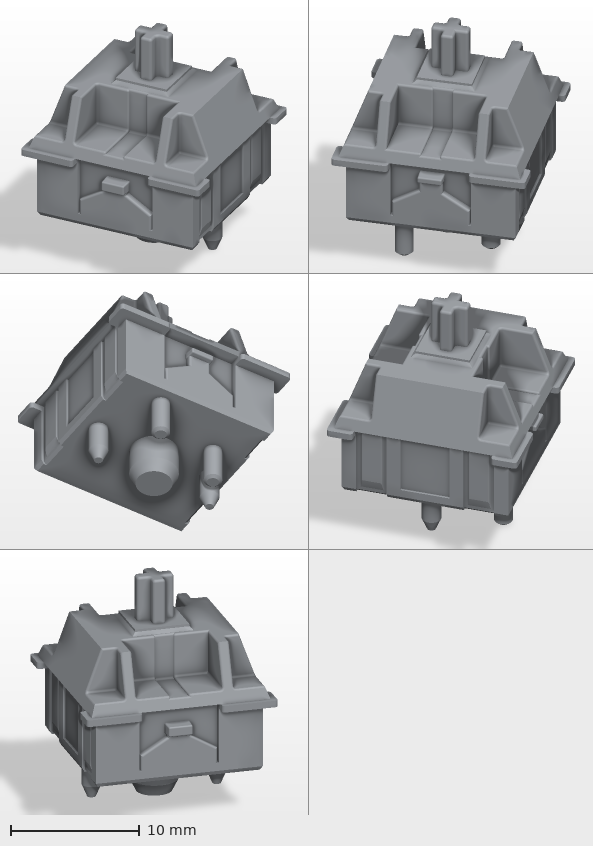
import cadquery as cq
import math

pin_tip_z = 0.0
body_bottom_z = 3.28
flange_bottom_z = 8.77
flange_top_z = 9.3
housing_top_z = 13.84
plinth_edge_z = 14.09
plinth_top_z = 14.28
stem_top_z = 17.9

body_half = 6.78
body_foot_height = 0.34
foot_top_z = body_bottom_z + body_foot_height
body_foot_inset = 0.2
flange_half = 7.75
flange_gap_half_x = 3.24
flange_gap_half_y = 5.64
flange_corner_radius = 0.27

housing_base_half = 7.27
housing_top_half = 5.58
pocket_floor_z = 10.3
pocket_fillet = 0.2
pocket_rim_fillet = 0.18
corner_pocket_wall = 4.4
center_pocket_half_x = 3.5
center_pocket_wall_y = 2.9
groove_half_x = 0.75
groove_depth = 0.18
groove_lip_radius = 0.16

plinth_base_half = 2.5
plinth_top_half = 2.2
stem_half_span = 1.49
stem_half_thickness = 0.5
stem_outer_radius = 0.23
stem_inner_radius = 0.25
stem_top_fillet = 0.21

clip_recess_depth = 0.55
clip_bottom_z = 4.26
clip_shoulder_z = 5.53
clip_neck_z = 6.8
clip_leg_half_x = 3.1
clip_neck_half_x = 0.93
clip_edge_fillet = 0.18
nub_half_width = 1.02
nub_reach = 7.25
nub_draft = 3.0
nub_fillet = 0.13
front_nub_z = (6.95, 7.85)
back_nub_z = (7.75, 8.36)

channel_inner_y = 3.11
channel_depth = 0.23
channel_foot_chamfer = 0.23
rib_center_y = 4.37
rib_base_half = 0.98
rib_top_half = 0.73
rib_height = 0.2
rib_bottom_z = 3.8
rib_ramp_top_z = 4.53
panel_half_width = 2.0
panel_bottom_z = 4.26
panel_depth = 0.2

cone_height = 1.0
post_radius = 1.93
post_tip_radius = 1.43
peg_radius = 0.77
peg_tip_radius = 0.34
peg_x = 5.08
contact_radius = 0.73
contact_chamfer_height = 0.21
contact_tip_radius = 0.48
contact_places = [(-3.81, 2.55), (2.52, 5.07)]

tolerance = 0.0002


def block(x_range, y_range, z_range):
    """Axis-aligned box given by its limits along each axis."""
    size = [high - low for low, high in (x_range, y_range, z_range)]
    corner = (x_range[0], y_range[0], z_range[0])
    return cq.Workplane("XY").box(*size, centered=False).translate(corner)


def frustum(bottom_half, top_half, bottom_z, top_z):
    """Square frustum centred on the Z axis."""
    return (
        cq.Workplane("XY", origin=(0, 0, bottom_z))
        .rect(2 * bottom_half, 2 * bottom_half)
        .workplane(offset=top_z - bottom_z)
        .rect(2 * top_half, 2 * top_half)
        .loft(ruled=True)
    )


def mirrored_x(shape):
    return shape.union(shape.mirror("YZ"))


def mirrored_y(shape):
    return shape.union(shape.mirror("XZ"))


def make_flange():
    """Four L-shaped corner tabs left by removing a cross-shaped gap from a square plate."""
    plate = block(
        (-flange_half, flange_half), (-flange_half, flange_half), (flange_bottom_z, flange_top_z)
    )
    gap_x = block(
        (-flange_gap_half_x, flange_gap_half_x),
        (-flange_half, flange_half),
        (flange_bottom_z, flange_top_z),
    )
    gap_y = block(
        (-flange_half, flange_half),
        (-flange_gap_half_y, flange_gap_half_y),
        (flange_bottom_z, flange_top_z),
    )
    tabs = plate.cut(gap_x).cut(gap_y)
    outer_corners = [
        edge for edge in tabs.edges("|Z").vals()
        if max(abs(edge.Center().x), abs(edge.Center().y)) > body_half
    ]
    return tabs.newObject(outer_corners).fillet(flange_corner_radius)


def make_lower_body():
    """Square body with a bevelled foot."""
    walls = block((-body_half, body_half), (-body_half, body_half), (foot_top_z, flange_top_z))
    foot = frustum(body_half - body_foot_inset, body_half, body_bottom_z, foot_top_z)
    return walls.union(foot)


def make_channel_cut():
    """Channel in the -X wall at positive Y, with a chamfered foot of its own."""
    floor_x = -body_half + channel_depth
    foot_x = floor_x + channel_foot_chamfer
    return (
        cq.Workplane("XZ")
        .polyline([
            (-body_half, body_bottom_z),
            (foot_x, body_bottom_z),
            (floor_x, body_bottom_z + channel_foot_chamfer),
            (floor_x, flange_top_z),
            (-body_half, flange_top_z),
        ])
        .close()
        .extrude(flange_gap_half_y - channel_inner_y)
        .translate((0, flange_gap_half_y, 0))
    )


def make_snap_rib():
    """Rib with S-curved sides and a ramped lower end, on the -X wall at positive Y."""
    mid_half = (rib_base_half + rib_top_half) / 2
    half = (
        cq.Workplane("XY").lineTo(0, rib_height).lineTo(rib_top_half, rib_height)
        .tangentArcPoint((mid_half, rib_height / 2), relative=False)
        .tangentArcPoint((rib_base_half, 0), relative=False)
        .close()
        .extrude(flange_top_z - rib_bottom_z)
    )
    ramp = (
        cq.Workplane("YZ").moveTo(0, 0).lineTo(rib_height, 0)
        .lineTo(rib_height, rib_ramp_top_z - rib_bottom_z).close()
        .extrude(rib_base_half, both=True)
    )
    rib = mirrored_x(half).cut(ramp)
    return rib.rotate((0, 0, 0), (0, 0, 1), 90).translate(
        (-body_half + channel_depth, rib_center_y, rib_bottom_z)
    )


def make_panel_cut():
    """Shallow central panel in the -X wall."""
    x_range = (-body_half, -body_half + panel_depth)
    return block(x_range, (-panel_half_width, panel_half_width), (panel_bottom_z, flange_top_z))


def make_clip_recess():
    """Recess in the -Y wall, wider than the clip tongue to leave a slot beside each leg."""
    return block(
        (-flange_gap_half_x, flange_gap_half_x),
        (-body_half, -body_half + clip_recess_depth),
        (clip_bottom_z, flange_top_z),
    )


def make_clip_tongue(nub_z):
    """Tongue rising from the -Y wall, with the latch nub at its tip."""
    side = [
        (clip_leg_half_x, clip_bottom_z),
        (clip_leg_half_x, clip_shoulder_z),
        (clip_neck_half_x, clip_neck_z),
        (clip_neck_half_x, sum(nub_z) / 2),
    ]
    other_side = [(-x, z) for x, z in reversed(side)]
    floor_y = -body_half + clip_recess_depth
    tongue = (
        cq.Workplane("XZ", origin=(0, floor_y, 0))
        .polyline(side + other_side).close()
        .extrude(clip_recess_depth)
        .faces("<Y").edges("not <Z").fillet(clip_edge_fillet)
    )
    nub = (
        cq.Workplane("XZ", origin=(0, floor_y, sum(nub_z) / 2))
        .rect(2 * nub_half_width, nub_z[1] - nub_z[0])
        .extrude(nub_reach + floor_y, taper=nub_draft)
        .edges("not >Y").fillet(nub_fillet)
    )
    return tongue.union(nub)


def make_corner_pocket():
    """Cutter for the pocket at +X +Y, rounded where its walls and floor meet."""
    reach = (corner_pocket_wall, flange_half)
    cutter = block(reach, reach, (pocket_floor_z, stem_top_z))
    nearest_corner = cq.selectors.NearestToPointSelector((0, 0, 0))
    corner = cutter.vertices(nearest_corner).val()
    inner_edges = [edge for edge in cutter.edges().vals() if edge.distance(corner) < tolerance]
    return cutter.newObject(inner_edges).fillet(pocket_fillet)


def make_center_pocket(round_right_floor):
    """Cutter for the +Y middle pocket with its groove; the inner corner at +X stays sharp."""
    cutter = block(
        (-center_pocket_half_x, center_pocket_half_x),
        (center_pocket_wall_y, flange_half),
        (pocket_floor_z, stem_top_z),
    )
    rounded = cutter.edges("(<X and <Y) or (<Y and <Z) or (<X and <Z)")
    if round_right_floor:
        rounded = rounded.add(cutter.edges(">X and <Z"))
    cutter = rounded.fillet(pocket_fillet)
    groove = block(
        (-groove_half_x, groove_half_x),
        (center_pocket_wall_y - groove_depth, flange_half),
        (pocket_floor_z - groove_depth, stem_top_z),
    )
    cutter = cutter.union(groove.edges("<Y and <Z").fillet(pocket_fillet))
    lip_zone = cq.selectors.BoxSelector(
        (-groove_half_x - tolerance, center_pocket_wall_y - tolerance, pocket_floor_z - tolerance),
        (groove_half_x + tolerance, flange_half + tolerance, stem_top_z + tolerance),
        boundingbox=True,
    )
    return cutter.edges(lip_zone).fillet(groove_lip_radius)


def skins_touched(edge):
    """Number of outer housing faces (top or slope) that the edge lies in."""
    slope = (housing_base_half - housing_top_half) / (housing_top_z - flange_top_z)
    points = [edge.positionAt(t) for t in (0, 0.5, 1)]
    halves = [housing_top_half + slope * (housing_top_z - p.z) for p in points]
    gaps = [
        [p.z - housing_top_z for p in points],
        [abs(p.x) - half for p, half in zip(points, halves)],
        [abs(p.y) - half for p, half in zip(points, halves)],
    ]
    return sum(all(abs(gap) < tolerance for gap in face) for face in gaps)


def make_housing():
    """Tapered upper housing with its pockets and their rounded rims."""
    housing = frustum(housing_base_half, housing_top_half, flange_top_z, housing_top_z)
    pockets = mirrored_y(mirrored_x(make_corner_pocket()))
    pockets = pockets.union(make_center_pocket(False))
    pockets = pockets.union(make_center_pocket(True).mirror("XZ"))
    housing = housing.cut(pockets)
    rims = [
        edge for edge in housing.edges().vals()
        if skins_touched(edge) == 1 and edge.Center().z > flange_top_z + tolerance
    ]
    return housing.newObject(rims).fillet(pocket_rim_fillet)


def make_stem():
    """Plinth carrying a plus-shaped stem; its inner corner at -X +Y stays sharp."""
    plinth = frustum(plinth_base_half, plinth_top_half, housing_top_z, plinth_edge_z).union(
        frustum(plinth_top_half, plinth_top_half, plinth_edge_z, plinth_top_z)
    )
    span = (-stem_half_span, stem_half_span)
    thickness = (-stem_half_thickness, stem_half_thickness)
    height = (plinth_top_z, stem_top_z)
    cross = block(span, thickness, height).union(block(thickness, span, height))
    inner_corners = [
        edge for edge in cross.edges("|Z").vals()
        if max(abs(edge.Center().x), abs(edge.Center().y)) < stem_half_span - tolerance
        and not edge.Center().x < 0 < edge.Center().y
    ]
    cross = cross.newObject(inner_corners).fillet(stem_inner_radius)
    outer_corners = [
        edge for edge in cross.edges("|Z").vals()
        if math.isclose(max(abs(edge.Center().x), abs(edge.Center().y)), stem_half_span)
    ]
    cross = cross.newObject(outer_corners).fillet(stem_outer_radius)
    return plinth.union(cross.faces(">Z").edges().fillet(stem_top_fillet))


def make_pin(place, radius, tip_radius, tip_height):
    """Round pin with a conical tip, reaching up into the body."""
    return (
        cq.Workplane("XZ")
        .polyline([
            (0, pin_tip_z),
            (tip_radius, pin_tip_z),
            (radius, pin_tip_z + tip_height),
            (radius, foot_top_z),
            (0, foot_top_z),
        ])
        .close()
        .revolve(360, (0, 0, 0), (0, 1, 0))
        .translate((*place, 0))
    )


channels = mirrored_x(mirrored_y(make_channel_cut()))
ribs = mirrored_x(mirrored_y(make_snap_rib()))
panels = mirrored_x(make_panel_cut())
clip_recesses = mirrored_y(make_clip_recess())

result = make_lower_body().cut(channels).cut(panels).cut(clip_recesses)
result = result.union(ribs).union(make_flange())
result = result.union(make_clip_tongue(front_nub_z))
result = result.union(make_clip_tongue(back_nub_z).mirror("XZ"))
result = result.union(make_housing()).union(make_stem())

result = result.union(make_pin((0, 0), post_radius, post_tip_radius, cone_height))
for peg_side in (-1, 1):
    result = result.union(make_pin((peg_side * peg_x, 0), peg_radius, peg_tip_radius, cone_height))
for place in contact_places:
    pin = make_pin(place, contact_radius, contact_tip_radius, contact_chamfer_height)
    result = result.union(pin)